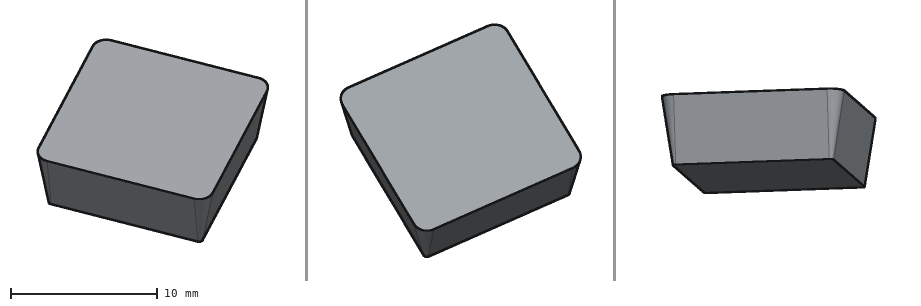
import cadquery as cq

side = 12.7
height = 4.76
corner_radius = 1.0
relief_angle = 9.0

top_outline = cq.Sketch().rect(side, side).vertices().fillet(corner_radius)

result = (
    cq.Workplane("XY", origin=(0, 0, height))
    .placeSketch(top_outline)
    .extrude(-height, taper=relief_angle)
)